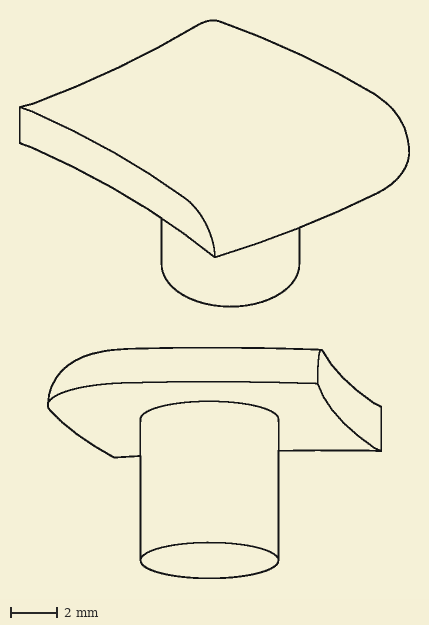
import cadquery as cq
import math

cap_height = 2.0
stem_height = 6.35
stem_diameter = 6.0

bottom_land = 0.003
edge_round = cap_height - bottom_land

corner_center = (1.55, 3.7)
corner_radius = 3.75
corner_start_angle = 115.6
corner_end_angle = 18.5

left_corner = (-7.12, 2.58)
right_corner = (6.88, -3.25)

tip = (-3.53, -8.45)
tip_left = (-3.56, -7.8)
tip_right = (-3.05, -8.05)

left_side_middle = (-5.28, -1.65)
lower_side_middle = (2.08, -5.1)


def corner_point(angle):
    """Point on the round corner at an angle in degrees from +X."""
    return (
        corner_center[0] + corner_radius * math.cos(math.radians(angle)),
        corner_center[1] + corner_radius * math.sin(math.radians(angle)),
    )


def corner_tangent(angle):
    """Clockwise travel direction along the round corner."""
    return (math.sin(math.radians(angle)), -math.cos(math.radians(angle)))


def tangent_side(angle, end, direction_sign):
    """Arc leaving the round corner tangentially and finishing at end."""
    tangent = corner_tangent(angle)
    return cq.Edge.makeTangentArc(
        cq.Vector(*corner_point(angle)),
        cq.Vector(direction_sign * tangent[0], direction_sign * tangent[1]),
        cq.Vector(*end),
    )


def three_point_arc(start, middle, end):
    return cq.Edge.makeThreePointArc(cq.Vector(*start), cq.Vector(*middle), cq.Vector(*end))


def straight(start, end):
    return cq.Edge.makeLine(cq.Vector(*start), cq.Vector(*end))


def make_cap():
    corner_arc = three_point_arc(
        corner_point(corner_start_angle),
        corner_point((corner_start_angle + corner_end_angle) / 2),
        corner_point(corner_end_angle),
    )
    rounded_sides = [
        tangent_side(corner_start_angle, left_corner, -1),
        corner_arc,
        tangent_side(corner_end_angle, right_corner, 1),
    ]
    plain_sides = [
        three_point_arc(right_corner, lower_side_middle, tip_right),
        straight(tip_right, tip),
        straight(tip, tip_left),
        three_point_arc(tip_left, left_side_middle, left_corner),
    ]
    outline = cq.Wire.assembleEdges(rounded_sides + plain_sides)
    cap = cq.Workplane("XY").add(outline).toPending().extrude(cap_height)

    corner_top = corner_point((corner_start_angle + corner_end_angle) / 2) + (cap_height,)
    top_edge = cap.faces(">Z").edges(cq.selectors.NearestToPointSelector(corner_top))
    return top_edge.fillet(edge_round)


def make_stem():
    return cq.Workplane("XY").circle(stem_diameter / 2).extrude(-stem_height)


result = make_cap().union(make_stem())